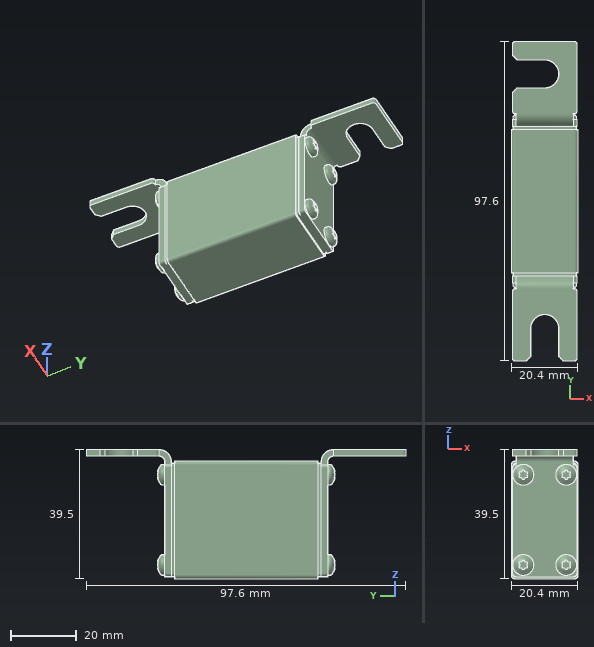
import cadquery as cq
import math


total_length = 97.6
total_height = 39.5

body_width = 20.4
body_length = 43.7
body_height = 36.0
body_corner_radius = 1.2

spacer_thickness = 1.0
spacer_width = 19.3
spacer_margin = 0.7
spacer_corner_radius = 1.0

strap_thickness = 2.05
strap_width = 19.8
neck_width = 17.5
plate_bottom = 0.7
plate_top = 34.8
bend_inner_radius = 1.8
strap_corner_radius = 1.0

slot_width = 8.5
slot_center_from_end = 10.0
slot_mouth_chamfer = 1.5

screw_spacing_x = 13.1
screw_bottom_z = 4.3
screw_top_z = 31.8
head_diameter = 6.3
head_height = 2.3
head_rim_height = 0.5
head_shoulder_radius = 2.5
head_shoulder_height = 1.5
socket_tip_radius = 1.5
socket_valley_radius = 1.1
socket_depth = 1.0
socket_lobes = 6

diagonal = math.sqrt(0.5)

body_face = body_length / 2
plate_inner_face = body_face + spacer_thickness
plate_outer_face = plate_inner_face + strap_thickness
bend_outer_radius = bend_inner_radius + strap_thickness
bend_center_y = plate_inner_face + bend_outer_radius
bend_center_z = total_height - bend_outer_radius
lug_end = total_length / 2
slot_center_y = lug_end - slot_center_from_end


def block(width, y_start, y_end, z_bottom, z_top):
    """Box centred on X between the given Y and Z limits."""
    return (
        cq.Workplane("XY")
        .box(width, y_end - y_start, z_top - z_bottom, centered=(True, False, False))
        .translate((0, y_start, z_bottom))
    )


def make_body():
    body = block(body_width, -body_face, body_face, 0, body_height)
    return body.edges("|Y").fillet(body_corner_radius)


def make_spacer():
    spacer = block(spacer_width, body_face, plate_inner_face, spacer_margin, body_height - spacer_margin)
    return spacer.edges("|Y").fillet(spacer_corner_radius)


def make_neck():
    """Narrow strip that rises from the end plate and bends outwards into the lug."""
    inner_offset = bend_inner_radius * diagonal
    outer_offset = bend_outer_radius * diagonal
    return (
        cq.Workplane("YZ")
        .moveTo(plate_inner_face, plate_top - strap_corner_radius)
        .lineTo(plate_inner_face, bend_center_z)
        .threePointArc(
            (bend_center_y - outer_offset, bend_center_z + outer_offset),
            (bend_center_y, total_height),
        )
        .lineTo(bend_center_y + strap_corner_radius, total_height)
        .lineTo(bend_center_y + strap_corner_radius, total_height - strap_thickness)
        .lineTo(bend_center_y, total_height - strap_thickness)
        .threePointArc(
            (bend_center_y - inner_offset, bend_center_z + inner_offset),
            (plate_outer_face, bend_center_z),
        )
        .lineTo(plate_outer_face, plate_top - strap_corner_radius)
        .close()
        .extrude(neck_width / 2, both=True)
    )


def make_slot_cutter(mouth_distance):
    """Slot with its round end at the origin and a flared mouth at mouth_distance along +Y."""
    half_width = slot_width / 2
    flare_half_width = half_width + slot_mouth_chamfer
    flare_start = mouth_distance - slot_mouth_chamfer
    return (
        cq.Workplane("XY")
        .moveTo(-half_width, 0)
        .threePointArc((0, -half_width), (half_width, 0))
        .lineTo(half_width, flare_start)
        .lineTo(flare_half_width, mouth_distance)
        .lineTo(-flare_half_width, mouth_distance)
        .lineTo(-half_width, flare_start)
        .close()
        .extrude(total_height)
    )


def make_strap(slot_cutter):
    plate = block(strap_width, plate_inner_face, plate_outer_face, plate_bottom, plate_top)
    plate = plate.edges("|Y").fillet(strap_corner_radius)
    lug = block(strap_width, bend_center_y, lug_end, total_height - strap_thickness, total_height)
    lug = lug.edges("|Z").fillet(strap_corner_radius)
    lug = lug.cut(slot_cutter.translate((0, slot_center_y, 0)))
    return plate.union(make_neck()).union(lug)


def polar_point(radius, angle):
    return (radius * math.cos(angle), radius * math.sin(angle))


def make_screw_head():
    """Domed head on the Z axis, seated at Z = 0, with a six-lobe socket in its top."""
    head_radius = head_diameter / 2
    shoulder = (head_shoulder_radius, head_shoulder_height)
    shoulder_inset = head_radius - head_shoulder_radius
    shoulder_rise = head_shoulder_height - head_rim_height
    rim_middle = (
        head_shoulder_radius + shoulder_inset * diagonal,
        head_rim_height + shoulder_rise * diagonal,
    )

    dome_rise = head_height - head_shoulder_height
    dome_radius = (head_shoulder_radius**2 + dome_rise**2) / (2 * dome_rise)
    half_angle = math.asin(head_shoulder_radius / dome_radius) / 2
    dome_middle = (
        dome_radius * math.sin(half_angle),
        head_height - dome_radius * (1 - math.cos(half_angle)),
    )

    head = (
        cq.Workplane("XZ")
        .lineTo(head_radius, 0)
        .lineTo(head_radius, head_rim_height)
        .threePointArc(rim_middle, shoulder)
        .threePointArc(dome_middle, (0, head_height))
        .close()
        .revolve(360, (0, 0, 0), (0, 1, 0))
    )

    half_pitch = math.pi / socket_lobes
    join_radius = (socket_tip_radius + socket_valley_radius) / 2
    first_tip = math.pi / 2
    socket = cq.Workplane("XY").moveTo(*polar_point(join_radius, first_tip - half_pitch / 2))
    for step in range(2 * socket_lobes):
        angle = first_tip + step * half_pitch
        crest_radius = socket_tip_radius if step % 2 == 0 else socket_valley_radius
        socket = socket.threePointArc(
            polar_point(crest_radius, angle),
            polar_point(join_radius, angle + half_pitch / 2),
        )
    socket = socket.close().extrude(head_height).translate((0, 0, head_height - socket_depth))
    return head.cut(socket)


def make_end(slot_cutter):
    """Spacer, strap and screw heads for the +Y end."""
    end = make_spacer().union(make_strap(slot_cutter))
    head = make_screw_head().rotate((0, 0, 0), (1, 0, 0), -90)
    for x in (-screw_spacing_x / 2, screw_spacing_x / 2):
        for z in (screw_bottom_z, screw_top_z):
            end = end.union(head.translate((x, plate_outer_face, z)))
    return end


end_slot = make_slot_cutter(slot_center_from_end)
side_slot = make_slot_cutter(strap_width / 2).rotate((0, 0, 0), (0, 0, 1), 90)

front_end = make_end(end_slot).mirror("XZ")
back_end = make_end(side_slot)
result = make_body().union(front_end).union(back_end)